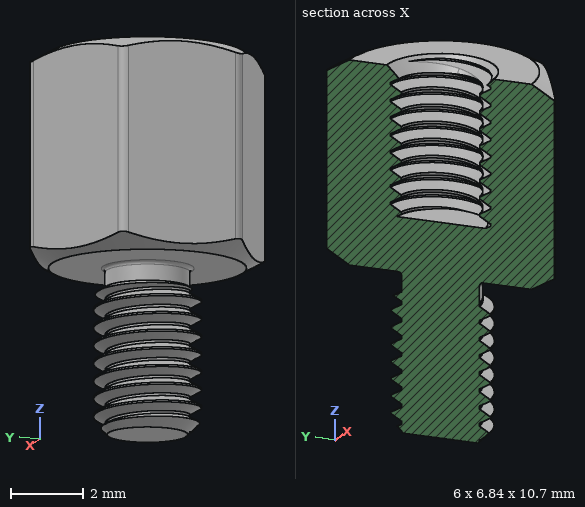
import cadquery as cq
import math

total_height = 10.7
across_flats = 6.0
body_height = 6.0
edge_radius = 0.3
face_diameter = 5.49
hex_chamfer_angle = 30.0

minor_diameter = 2.35
major_diameter = 3.0
pitch = major_diameter / 6
flank_angle = 30.0
crest_width = 0.05

neck_length = 0.57
neck_fillet = 0.11
tip_diameter = 2.25
runout_angle = 30.0
stud_crest_height = 0.43

mouth_diameter = 3.21
hole_depth = 4.39
hole_crest_drop = 0.16

minor_radius = minor_diameter / 2
major_radius = major_diameter / 2
thread_depth = major_radius - minor_radius
stud_length = total_height - body_height
root_overlap = 0.02
clearance = 0.11


def revolve_profile(points):
    """Revolve (radius, height) points about Z."""
    return cq.Workplane("XZ").polyline(points).close().revolve(360, (0, 0, 0), (0, 1, 0))


def thread_ridge(crest_start, turns):
    """Right-handed ridge whose crest starts on the +X side at the given height."""
    flank_rise = math.tan(math.radians(flank_angle))
    crest_half = crest_width / 2
    root_half = crest_half + (thread_depth + root_overlap) * flank_rise
    root_radius = minor_radius - root_overlap
    path = cq.Wire.makeHelix(pitch, turns * pitch, minor_radius, cq.Vector(0, 0, crest_start))
    profile = (
        cq.Workplane("XZ")
        .moveTo(root_radius, crest_start - root_half)
        .lineTo(major_radius, crest_start - crest_half)
        .lineTo(major_radius, crest_start + crest_half)
        .lineTo(root_radius, crest_start + root_half)
        .close()
    )
    return profile.sweep(cq.Workplane(path), isFrenet=True)


def hex_body():
    """Rounded hexagon with points along Y, cut back by a cone at each end."""
    corner_diameter = across_flats / math.cos(math.pi / 6)
    prism = (
        cq.Workplane("XY", origin=(0, 0, stud_length))
        .transformed(rotate=(0, 0, 90))
        .polygon(6, corner_diameter)
        .extrude(body_height)
        .edges("|Z")
        .fillet(edge_radius)
    )
    face_radius = face_diameter / 2
    outer_radius = corner_diameter / 2
    chamfer_height = (outer_radius - face_radius) * math.tan(math.radians(hex_chamfer_angle))
    envelope = revolve_profile([
        (0, stud_length),
        (face_radius, stud_length),
        (outer_radius, stud_length + chamfer_height),
        (outer_radius, total_height - chamfer_height),
        (face_radius, total_height),
        (0, total_height),
    ])
    return prism.intersect(envelope)


def stud_neck():
    """Plain neck, flared by a fillet where it meets the hex."""
    return (
        cq.Workplane("XZ")
        .moveTo(0, stud_length - neck_length)
        .lineTo(minor_radius, stud_length - neck_length)
        .lineTo(minor_radius, stud_length - neck_fillet)
        .radiusArc((minor_radius + neck_fillet, stud_length), neck_fillet)
        .lineTo(0, stud_length)
        .close()
        .revolve(360, (0, 0, 0), (0, 1, 0))
    )


def stud_thread():
    """Threaded rod with a 45 degree tip chamfer and a conical runout at the neck."""
    thread_top = stud_length - neck_length
    tip_radius = tip_diameter / 2
    outer_radius = major_radius + clearance
    runout = (outer_radius - minor_radius) * math.tan(math.radians(runout_angle))
    envelope = revolve_profile([
        (0, 0),
        (tip_radius, 0),
        (outer_radius, outer_radius - tip_radius),
        (outer_radius, thread_top - runout),
        (minor_radius, thread_top),
        (0, thread_top),
    ])
    first_crest = stud_crest_height - 2 * pitch
    turns = math.ceil((thread_top - first_crest) / pitch) + 1
    core_start = first_crest - pitch
    core = (
        cq.Workplane("XY", origin=(0, 0, core_start))
        .circle(minor_radius)
        .extrude((turns + 2) * pitch)
    )
    ridge = thread_ridge(first_crest, turns)
    return core.union(ridge).intersect(envelope)


def hole_thread():
    """Flat-bottomed tapped hole, as the solid to cut away."""
    hole_floor = total_height - hole_depth
    core = cq.Workplane("XY", origin=(0, 0, hole_floor)).circle(minor_radius).extrude(hole_depth)
    turns = math.ceil(hole_depth / pitch) + 1
    first_crest = total_height - hole_crest_drop - (turns - 1) * pitch
    bounds = revolve_profile([
        (0, hole_floor),
        (major_radius + clearance, hole_floor),
        (major_radius + clearance, total_height),
        (0, total_height),
    ])
    return core.union(thread_ridge(first_crest, turns)).intersect(bounds)


def countersink():
    """45 degree cone at the mouth of the hole."""
    mouth_radius = mouth_diameter / 2
    return revolve_profile([
        (0, total_height - mouth_radius),
        (mouth_radius, total_height),
        (0, total_height),
    ])


result = hex_body().cut(hole_thread()).cut(countersink()).union(stud_neck()).union(stud_thread())